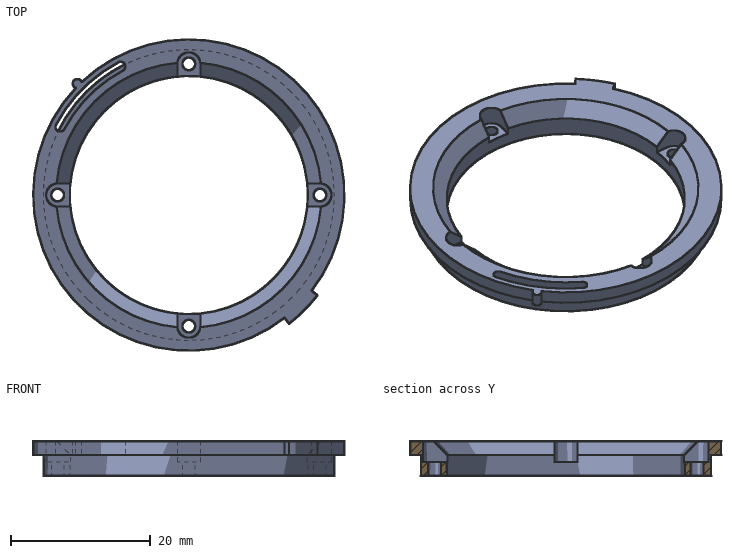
import cadquery as cq
import math

flange_radius = 22.25
body_radius = 41.6 / 2
bore_radius = 34.0 / 2
total_height = 5.0
flange_height = 2.0
body_height = total_height - flange_height
bevel_radius = 18.95

seat_count = 4
screw_circle_radius = 18.75
screw_hole_diameter = 1.8
seat_radius = 1.65
seat_depth = 3.0
seat_floor = total_height - seat_depth

slot_angle = 135.0
slot_half_angle = 17.1
slot_radius = body_radius
slot_width = 1.35
bump_radius = 0.65
bump_center_radius = 22.55
tab_angle = slot_angle + 180
tab_half_angle = 7.1
tab_outer_radius = 23.35
tab_inner_radius = body_radius


def polar(radius, angle):
    """Point at a radius and an angle in degrees about the ring axis."""
    return (radius * math.cos(math.radians(angle)), radius * math.sin(math.radians(angle)))


def make_ring():
    """Revolve the half section: stepped outside, cylindrical bore with a bevelled mouth."""
    section = [
        (bore_radius, 0),
        (body_radius, 0),
        (body_radius, body_height),
        (flange_radius, body_height),
        (flange_radius, total_height),
        (bevel_radius, total_height),
        (bore_radius, body_height),
    ]
    return cq.Workplane("XZ").polyline(section).close().revolve(360, (0, 0), (0, 1))


def flange_plane():
    """Plane at the underside of the flange."""
    return cq.Workplane("XY").workplane(offset=body_height)


def make_bump():
    """Small round pip on the flange rim."""
    return flange_plane().center(*polar(bump_center_radius, slot_angle)).circle(bump_radius).extrude(flange_height)


def make_tab():
    """Annular sector standing out from the flange rim."""
    start = tab_angle - tab_half_angle
    end = tab_angle + tab_half_angle
    return (
        flange_plane()
        .moveTo(*polar(tab_inner_radius, start))
        .lineTo(*polar(tab_outer_radius, start))
        .threePointArc(polar(tab_outer_radius, tab_angle), polar(tab_outer_radius, end))
        .lineTo(*polar(tab_inner_radius, end))
        .threePointArc(polar(tab_inner_radius, tab_angle), polar(tab_inner_radius, start))
        .close()
        .extrude(flange_height)
    )


def make_slot():
    """Arc slot with round ends through the flange, half over the body and half open below."""
    inner = slot_radius - slot_width / 2
    outer = slot_radius + slot_width / 2
    start = slot_angle - slot_half_angle
    end = slot_angle + slot_half_angle
    end_cap_angle = math.degrees(slot_width / 2 / slot_radius)
    return (
        flange_plane()
        .moveTo(*polar(inner, start))
        .threePointArc(polar(slot_radius, start - end_cap_angle), polar(outer, start))
        .threePointArc(polar(outer, slot_angle), polar(outer, end))
        .threePointArc(polar(slot_radius, end + end_cap_angle), polar(inner, end))
        .threePointArc(polar(inner, slot_angle), polar(inner, start))
        .close()
        .extrude(flange_height)
    )


def make_screw_seat(angle):
    """Round-backed pocket open to the bore, with a screw hole through its floor."""
    seat_plane = cq.Workplane("XY").workplane(offset=seat_floor)
    round_back = seat_plane.center(screw_circle_radius, 0).circle(seat_radius).extrude(seat_depth)
    mouth = seat_plane.rect(screw_circle_radius, 2 * seat_radius, centered=(False, True)).extrude(seat_depth)
    hole = (
        cq.Workplane("XY")
        .center(screw_circle_radius, 0)
        .circle(screw_hole_diameter / 2)
        .extrude(total_height)
    )
    return round_back.union(mouth).union(hole).rotate((0, 0, 0), (0, 0, 1), angle)


result = make_ring().union(make_bump()).union(make_tab()).cut(make_slot())
for index in range(seat_count):
    result = result.cut(make_screw_seat(index * 360 / seat_count))